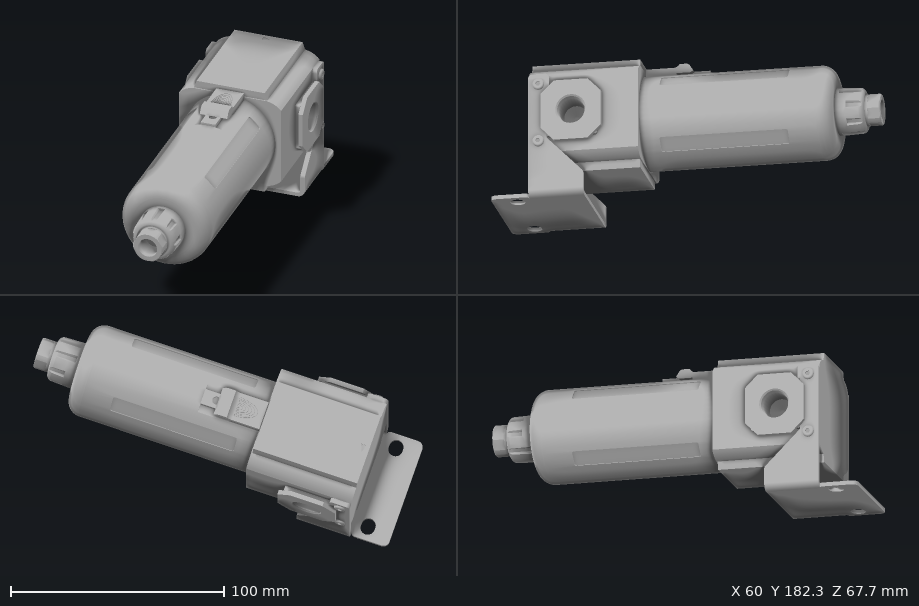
import cadquery as cq
import math


BODY_BACK = 20.8
BODY_LENGTH = 52.1
BODY_FRONT = BODY_BACK - BODY_LENGTH
BOWL_LENGTH = 91.2
BOWL_END = BODY_FRONT - BOWL_LENGTH
COCK_LENGTH = 20.7
COCK_END = BOWL_END - COCK_LENGTH

BODY_HALF_WIDTH = 25.5
BODY_HALF_HEIGHT = 22.85
SIDE_FLAT_HALF_HEIGHT = 19.0
CAP_HALF_HEIGHT = 26.6
CAP_BASE_HALF_WIDTH = 18.3
CAP_TOP_HALF_WIDTH = 17.0
SHOULDER_MID_X = 22.4
SHOULDER_MID_Z = 21.5
CAP_FRONT_SETBACK = 0.6

PORT_FACE_X = 30.0
PAD_HALF_WIDTH = 14.3
PAD_HALF_HEIGHT = 14.65
PAD_CHAMFER = 6.2
PAD_BASE_HALF_SIZE = 11.9
PAD_BASE_CORNER = 1.0
PORT_MOUTH_RADIUS = 7.3
PORT_THREAD_RADIUS = 6.6
PORT_INNER_RADIUS = 5.6
PORT_CHAMFER = 0.7
PORT_DEPTH = 13.0
DRILL_POINT_ANGLE = 118.0

ARROW_LENGTH = 3.6
ARROW_WIDTH = 3.0
ARROW_Y = BODY_BACK - 3.0
ARROW_DEPTH = 0.3

SHEET = 2.3
FOOT_SHEET = 1.9
BRACKET_HALF_WIDTH = BODY_HALF_WIDTH + SHEET
BRACKET_BOTTOM = -41.1
BRACKET_TOP = SIDE_FLAT_HALF_HEIGHT
BRACKET_DEPTH = 26.3
BEND_RADIUS = 3.7
EAR_DEPTH = 10.0
EAR_CORNER = 2.0
SLOPE_END_Z = -30.0
SLOPE_CORNER = 2.0
TAB_LENGTH = 18.3
TAB_HALF_WIDTH = 26.6
TAB_CORNER = 3.0
TAB_NECK_CORNER = 2.0
SLOT_X = 20.0
SLOT_OFFSET = 6.5
SLOT_LENGTH = 8.0
SLOT_WIDTH = 6.8

SCREW_Y = BODY_BACK - 4.9
SCREW_Z = 14.0
SCREW_HEAD_RADIUS = 2.75
SCREW_HEAD_HEIGHT = 1.2
SCREW_HEAD_ROUND = 1.0
SCREW_SHANK_RADIUS = 1.5
SCREW_DEPTH = 6.0
SCREW_SOCKET_ACROSS_CORNERS = 2.4
SCREW_SOCKET_DEPTH = 0.8

BOWL_RADIUS = 22.35
BOWL_END_FILLET = 7.0
BOWL_SEAT_DEPTH = 3.0
SEAT_CLEARANCE = 0.3
WINDOW_START = BODY_FRONT - 8.8
WINDOW_LENGTH = 61.4
WINDOW_WIDTH = 7.8
WINDOW_CORNER = 1.0
WINDOW_FLOOR = 21.6

SEAT_Z = 21.05
SEAT_HALF_WIDTH = math.sqrt(BOWL_RADIUS**2 - SEAT_Z**2)
STOP_START = BODY_FRONT - 14.6
STOP_END = BODY_FRONT - 30.2
STOP_HALF_WIDTH = 3.7
STOP_TOP = 23.4
NOTCH_RADIUS = 1.9
NOTCH_Y = BODY_FRONT - 23.6
NOTCH_DEPTH = 1.0
LATCH_HALF_WIDTH = 6.85
LATCH_TOP = 24.9
RIDGE_TOP = CAP_HALF_HEIGHT
RIDGE_FILLET_START = BODY_FRONT - 13.4
RIDGE_START = BODY_FRONT - 16.1
RIDGE_END = BODY_FRONT - 19.8
NOSE_TOP_Y = BODY_FRONT - 20.9
NOSE_TOP_Z = 25.9
NOSE_TIP_Y = BODY_FRONT - 22.7
NOSE_TIP_Z = 23.2
NOSE_HEEL_Y = BODY_FRONT - 21.3
NOSE_UNDERSIDE = 22.2
GRIP_LENGTH = 10.4
GRIP_HALF_WIDTH = 4.8
GRIP_GROOVES = 7
GRIP_GROOVE_WIDTH = 0.35
GRIP_GROOVE_DEPTH = 0.3

COCK_ROOT_RADIUS = 11.25
COCK_RADIUS = 10.8
COCK_GRIP_LENGTH = 11.3
COCK_NOSE_LENGTH = 2.1
COCK_NOSE_MID_RADIUS = 10.0
COCK_NOSE_MID_LENGTH = 1.3
COCK_NOSE_END_RADIUS = 8.2
NIPPLE_RADIUS = 7.5
NIPPLE_START = COCK_GRIP_LENGTH + COCK_NOSE_LENGTH
HEX_START = 14.8
HEX_APOTHEM = 7.05
NIPPLE_EDGE_CHAMFER = 0.5
DRAIN_RADIUS = 4.7
DRAIN_DEPTH = 10.0
COCK_GROOVE_COUNT = 8
COCK_GROOVE_WIDTH = 4.3
COCK_GROOVE_FLOOR_WIDTH = 1.7
COCK_GROOVE_FLOOR = 10.0
LONG_GROOVE_START = 1.7
SHORT_GROOVE_START = 5.1
LONG_GROOVES = (2, 3, 6, 7)


def xz_plane(y):
    """Section plane at y whose normal points to -Y, with local axes X and Z."""
    return cq.Workplane("XZ", origin=(0, y, 0))


def bar(x0, x1, y0, y1, z0, z1):
    """Box between two opposite corners."""
    return cq.Workplane("XY").box(x1 - x0, y1 - y0, z1 - z0, centered=False).translate((x0, y0, z0))


def both_sides(shape):
    """The shape and its mirror image across the YZ plane."""
    return [shape, shape.mirror("YZ")]


def screw_envelope():
    head = (
        cq.Workplane("YZ", origin=(BRACKET_HALF_WIDTH, 0, 0))
        .circle(SCREW_HEAD_RADIUS)
        .extrude(SCREW_HEAD_HEIGHT)
        .faces(">X")
        .fillet(SCREW_HEAD_ROUND)
    )
    shank = (
        cq.Workplane("YZ", origin=(BRACKET_HALF_WIDTH, 0, 0))
        .circle(SCREW_SHANK_RADIUS)
        .extrude(-(SHEET + SCREW_DEPTH))
    )
    return head.union(shank)


def screw():
    socket = (
        cq.Workplane("YZ", origin=(BRACKET_HALF_WIDTH + SCREW_HEAD_HEIGHT, 0, 0))
        .polygon(6, SCREW_SOCKET_ACROSS_CORNERS)
        .extrude(-SCREW_SOCKET_DEPTH)
    )
    return screw_envelope().cut(socket)


def at_screw_positions(shape):
    copies = []
    for z in (-SCREW_Z, SCREW_Z):
        copies += both_sides(shape.translate((0, SCREW_Y, z)))
    return copies


def mid_section():
    """Body without its caps: a block whose long corners are rounded to shoulders."""
    outline = xz_plane(BODY_BACK).moveTo(-BODY_HALF_WIDTH, -SIDE_FLAT_HALF_HEIGHT)
    outline = outline.lineTo(-BODY_HALF_WIDTH, SIDE_FLAT_HALF_HEIGHT)
    outline = outline.threePointArc(
        (-SHOULDER_MID_X, SHOULDER_MID_Z), (-CAP_BASE_HALF_WIDTH, BODY_HALF_HEIGHT)
    )
    outline = outline.lineTo(CAP_BASE_HALF_WIDTH, BODY_HALF_HEIGHT)
    outline = outline.threePointArc(
        (SHOULDER_MID_X, SHOULDER_MID_Z), (BODY_HALF_WIDTH, SIDE_FLAT_HALF_HEIGHT)
    )
    outline = outline.lineTo(BODY_HALF_WIDTH, -SIDE_FLAT_HALF_HEIGHT)
    outline = outline.threePointArc(
        (SHOULDER_MID_X, -SHOULDER_MID_Z), (CAP_BASE_HALF_WIDTH, -BODY_HALF_HEIGHT)
    )
    outline = outline.lineTo(-CAP_BASE_HALF_WIDTH, -BODY_HALF_HEIGHT)
    outline = outline.threePointArc(
        (-SHOULDER_MID_X, -SHOULDER_MID_Z), (-BODY_HALF_WIDTH, -SIDE_FLAT_HALF_HEIGHT)
    )
    return outline.close().extrude(BODY_LENGTH)


def cap():
    """Tapered cap along the +Z face, set back slightly from the front of the body."""
    return (
        xz_plane(BODY_BACK)
        .polyline(
            [
                (-CAP_BASE_HALF_WIDTH, BODY_HALF_HEIGHT),
                (-CAP_TOP_HALF_WIDTH, CAP_HALF_HEIGHT),
                (CAP_TOP_HALF_WIDTH, CAP_HALF_HEIGHT),
                (CAP_BASE_HALF_WIDTH, BODY_HALF_HEIGHT),
            ]
        )
        .close()
        .extrude(BODY_LENGTH - CAP_FRONT_SETBACK)
    )


def port_pad():
    """Octagonal pad on a smaller square base, on the +X side."""
    base = (
        cq.Workplane("YZ", origin=(BODY_HALF_WIDTH, 0, 0))
        .rect(2 * PAD_BASE_HALF_SIZE, 2 * PAD_BASE_HALF_SIZE)
        .extrude(SHEET)
        .edges("|X")
        .fillet(PAD_BASE_CORNER)
    )
    plate = (
        cq.Workplane("YZ", origin=(BRACKET_HALF_WIDTH, 0, 0))
        .rect(2 * PAD_HALF_WIDTH, 2 * PAD_HALF_HEIGHT)
        .extrude(PORT_FACE_X - BRACKET_HALF_WIDTH)
        .edges("|X")
        .chamfer(PAD_CHAMFER)
    )
    return base.union(plate)


def port_hole():
    """Chamfered, slightly tapered hole with a drill point, on the +X side."""
    taper_end = PORT_FACE_X - PORT_DEPTH
    point_length = PORT_INNER_RADIUS / math.tan(math.radians(DRILL_POINT_ANGLE / 2))
    return (
        cq.Workplane("XY")
        .moveTo(PORT_FACE_X, 0)
        .lineTo(PORT_FACE_X, PORT_MOUTH_RADIUS)
        .lineTo(PORT_FACE_X - PORT_CHAMFER, PORT_THREAD_RADIUS)
        .lineTo(taper_end, PORT_INNER_RADIUS)
        .lineTo(taper_end - point_length, 0)
        .close()
        .revolve(360, (0, 0, 0), (1, 0, 0))
    )


def flow_arrow():
    return (
        cq.Workplane("XY", origin=(0, ARROW_Y, CAP_HALF_HEIGHT))
        .polyline(
            [
                (-ARROW_LENGTH / 2, -ARROW_WIDTH / 2),
                (ARROW_LENGTH / 2, 0),
                (-ARROW_LENGTH / 2, ARROW_WIDTH / 2),
            ]
        )
        .close()
        .extrude(-ARROW_DEPTH)
    )


def make_body():
    shape = mid_section().union(cap()).union(cap().mirror("XY"))
    for pad in both_sides(port_pad()):
        shape = shape.union(pad)
    for hole in both_sides(port_hole()):
        shape = shape.cut(hole)
    socket = xz_plane(BODY_FRONT).circle(BOWL_RADIUS + SEAT_CLEARANCE).extrude(-BOWL_SEAT_DEPTH)
    shape = shape.cut(socket).cut(flow_arrow())
    for hole in at_screw_positions(screw_envelope()):
        shape = shape.cut(hole)
    return shape


def bracket_u():
    height = BRACKET_TOP - BRACKET_BOTTOM
    outside = (
        xz_plane(BODY_BACK)
        .center(0, BRACKET_BOTTOM + height / 2)
        .rect(2 * BRACKET_HALF_WIDTH, height)
        .extrude(BRACKET_DEPTH)
        .edges("|Y and <Z")
        .fillet(BEND_RADIUS)
    )
    cavity = (
        xz_plane(BODY_BACK)
        .center(0, BRACKET_BOTTOM + FOOT_SHEET + height / 2)
        .rect(2 * BODY_HALF_WIDTH, height)
        .extrude(BRACKET_DEPTH)
        .edges("|Y and <Z")
        .fillet(BEND_RADIUS - SHEET)
    )
    return outside.cut(cavity)


def bracket_side_outline():
    """Side shape swept across the whole width: ear, column beside the pad, and sloping foot."""
    front = BODY_BACK - BRACKET_DEPTH
    slope_rise = PAD_BASE_HALF_SIZE - front
    shape = (
        cq.Workplane("YZ", origin=(-BRACKET_HALF_WIDTH, 0, 0))
        .moveTo(BODY_BACK, BRACKET_BOTTOM)
        .lineTo(BODY_BACK, BRACKET_TOP)
        .lineTo(BODY_BACK - EAR_DEPTH, BRACKET_TOP)
        .lineTo(BODY_BACK - EAR_DEPTH, PAD_BASE_HALF_SIZE)
        .lineTo(PAD_BASE_HALF_SIZE, PAD_BASE_HALF_SIZE)
        .lineTo(PAD_BASE_HALF_SIZE, SLOPE_END_Z + slope_rise)
        .lineTo(front, SLOPE_END_Z)
        .lineTo(front, BRACKET_BOTTOM)
        .close()
        .extrude(2 * BRACKET_HALF_WIDTH)
    )
    slope_corner = cq.selectors.NearestToPointSelector((0, front, SLOPE_END_Z))
    return shape.edges("|X and >Z").fillet(EAR_CORNER).edges(slope_corner).fillet(SLOPE_CORNER)


def mounting_tab():
    """Tab behind the body, its corners rounded and narrowing where it meets the folded sheet."""
    plate = bar(
        -TAB_HALF_WIDTH,
        TAB_HALF_WIDTH,
        BODY_BACK,
        BODY_BACK + TAB_LENGTH,
        BRACKET_BOTTOM,
        BRACKET_BOTTOM + FOOT_SHEET,
    )
    plate = plate.edges("|Z and >Y").fillet(TAB_CORNER).edges("|Z and <Y").fillet(TAB_NECK_CORNER)
    slots = (
        cq.Workplane("XY", origin=(0, BODY_BACK + SLOT_OFFSET, BRACKET_BOTTOM))
        .pushPoints([(-SLOT_X, 0), (SLOT_X, 0)])
        .slot2D(SLOT_LENGTH, SLOT_WIDTH)
        .extrude(FOOT_SHEET)
    )
    return plate.cut(slots)


def make_bracket():
    shape = bracket_u().intersect(bracket_side_outline()).union(mounting_tab())
    for hole in at_screw_positions(screw_envelope()):
        shape = shape.cut(hole)
    return shape


def bowl_window():
    """Window recess on the +Z side."""
    return (
        cq.Workplane("XY", origin=(0, WINDOW_START - WINDOW_LENGTH / 2, WINDOW_FLOOR))
        .rect(WINDOW_WIDTH, WINDOW_LENGTH)
        .extrude(BOWL_RADIUS)
        .edges("|Z")
        .fillet(WINDOW_CORNER)
    )


def latch_stop():
    stop = bar(-STOP_HALF_WIDTH, STOP_HALF_WIDTH, STOP_END, STOP_START, SEAT_Z, STOP_TOP)
    notch = (
        cq.Workplane("XY", origin=(0, NOTCH_Y, STOP_TOP))
        .circle(NOTCH_RADIUS)
        .extrude(-NOTCH_DEPTH)
    )
    return stop.cut(notch)


def make_bowl():
    shape = (
        xz_plane(BODY_FRONT + BOWL_SEAT_DEPTH)
        .circle(BOWL_RADIUS)
        .extrude(BOWL_LENGTH + BOWL_SEAT_DEPTH)
        .faces("<Y")
        .edges()
        .fillet(BOWL_END_FILLET)
    )
    for quarter in range(4):
        shape = shape.cut(bowl_window().rotate((0, 0, 0), (0, 1, 0), 45 + 90 * quarter))
    seat = bar(-SEAT_HALF_WIDTH, SEAT_HALF_WIDTH, STOP_END, BODY_FRONT, SEAT_Z, BOWL_RADIUS)
    return shape.cut(seat).union(latch_stop())


def grip_grooves():
    grooves = cq.Workplane("XY")
    for index in range(GRIP_GROOVES):
        scale = 1 - index / GRIP_GROOVES
        half_width = GRIP_HALF_WIDTH * scale
        length = GRIP_LENGTH * scale
        sketch = cq.Workplane("XY", origin=(0, RIDGE_FILLET_START, LATCH_TOP))
        outer = sketch.ellipse(half_width, length).extrude(-GRIP_GROOVE_DEPTH)
        inner = sketch.ellipse(
            half_width - GRIP_GROOVE_WIDTH, length - GRIP_GROOVE_WIDTH
        ).extrude(-GRIP_GROOVE_DEPTH)
        grooves = grooves.add(outer.cut(inner))
    behind_ridge = bar(
        -GRIP_HALF_WIDTH, GRIP_HALF_WIDTH, RIDGE_FILLET_START, BODY_FRONT, SEAT_Z, RIDGE_TOP
    )
    return grooves.combine().intersect(behind_ridge)


def make_latch():
    rise = RIDGE_TOP - LATCH_TOP
    run = RIDGE_FILLET_START - RIDGE_START
    ridge_radius = (rise**2 + run**2) / (2 * rise)
    half_angle = math.atan2(rise, run)
    ridge_mid = (
        RIDGE_FILLET_START - ridge_radius * math.sin(half_angle),
        LATCH_TOP + ridge_radius * (1 - math.cos(half_angle)),
    )
    shape = (
        cq.Workplane("YZ", origin=(-LATCH_HALF_WIDTH, 0, 0))
        .moveTo(BODY_FRONT, SEAT_Z)
        .lineTo(BODY_FRONT, LATCH_TOP)
        .lineTo(RIDGE_FILLET_START, LATCH_TOP)
        .threePointArc(ridge_mid, (RIDGE_START, RIDGE_TOP))
        .lineTo(RIDGE_END, RIDGE_TOP)
        .lineTo(NOSE_TOP_Y, NOSE_TOP_Z)
        .lineTo(NOSE_TIP_Y, NOSE_TIP_Z)
        .lineTo(NOSE_HEEL_Y, NOSE_UNDERSIDE)
        .lineTo(STOP_START, NOSE_UNDERSIDE)
        .lineTo(STOP_START, SEAT_Z)
        .close()
        .extrude(2 * LATCH_HALF_WIDTH)
    )
    return shape.cut(grip_grooves()).cut(latch_stop())


def cock_groove(start):
    """Trapezoid groove on the +Z side, open at the nose end."""
    half_floor = COCK_GROOVE_FLOOR_WIDTH / 2
    half_mouth = COCK_GROOVE_WIDTH / 2
    return (
        xz_plane(BOWL_END - start)
        .polyline(
            [
                (-half_floor, COCK_GROOVE_FLOOR),
                (-half_mouth, COCK_ROOT_RADIUS),
                (half_mouth, COCK_ROOT_RADIUS),
                (half_floor, COCK_GROOVE_FLOOR),
            ]
        )
        .close()
        .extrude(NIPPLE_START - start)
    )


def make_cock():
    grip_end = BOWL_END - COCK_GRIP_LENGTH
    nipple_start = BOWL_END - NIPPLE_START
    shape = (
        cq.Workplane("XY")
        .moveTo(0, BOWL_END)
        .lineTo(COCK_ROOT_RADIUS, BOWL_END)
        .lineTo(COCK_RADIUS, grip_end)
        .threePointArc(
            (COCK_NOSE_MID_RADIUS, grip_end - COCK_NOSE_MID_LENGTH),
            (COCK_NOSE_END_RADIUS, nipple_start),
        )
        .lineTo(NIPPLE_RADIUS, nipple_start)
        .lineTo(NIPPLE_RADIUS, COCK_END + NIPPLE_EDGE_CHAMFER)
        .lineTo(NIPPLE_RADIUS - NIPPLE_EDGE_CHAMFER, COCK_END)
        .lineTo(0, COCK_END)
        .close()
        .revolve(360, (0, 0, 0), (0, 1, 0))
    )
    for index in range(COCK_GROOVE_COUNT):
        start = LONG_GROOVE_START if index in LONG_GROOVES else SHORT_GROOVE_START
        angle = 90 - index * 360 / COCK_GROOVE_COUNT
        shape = shape.cut(cock_groove(start).rotate((0, 0, 0), (0, 1, 0), angle))
    hex_length = COCK_LENGTH - HEX_START
    hex_corners = 2 * HEX_APOTHEM / math.cos(math.pi / 6)
    ring = xz_plane(BOWL_END - HEX_START).circle(COCK_RADIUS).extrude(hex_length)
    hexagon = xz_plane(BOWL_END - HEX_START).polygon(6, hex_corners).extrude(hex_length)
    drain = xz_plane(COCK_END).circle(DRAIN_RADIUS).extrude(-DRAIN_DEPTH)
    return shape.cut(ring.cut(hexagon)).cut(drain)


body = make_body()
bracket = make_bracket()
screws = at_screw_positions(screw())
bowl = make_bowl()
latch = make_latch()
cock = make_cock()

bodies = [body, bracket, *screws, bowl, latch, cock]
result = cq.Compound.makeCompound([part.solids().val() for part in bodies])